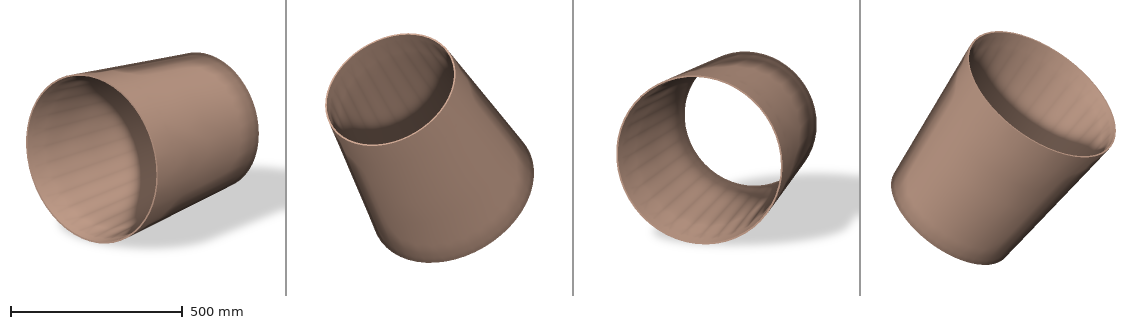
import cadquery as cq

length = 508.0
wide_diameter = 506.0
narrow_diameter = 406.5
wall = 5.0

wide_radius = wide_diameter / 2
narrow_radius = narrow_diameter / 2

result = (
    cq.Workplane("XY")
    .moveTo(wide_radius - wall, -length / 2)
    .lineTo(wide_radius, -length / 2)
    .lineTo(narrow_radius, length / 2)
    .lineTo(narrow_radius - wall, length / 2)
    .close()
    .revolve(360, (0, 0, 0), (0, 1, 0))
)